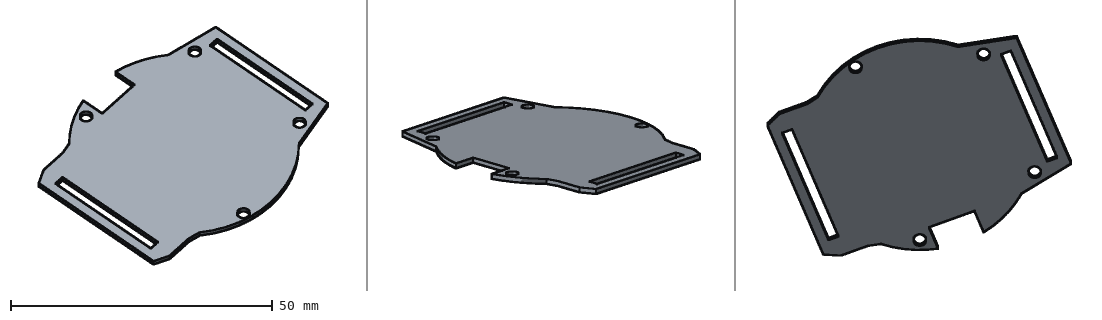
import cadquery as cq
import math

length = 51.15
thickness = 1.0
disc_radius = 22.0

upper_end_half_width = 14.2
upper_root_half_width = 16.55

lower_half_width = 16.0
lower_end_half_width = 14.6
lower_bevel_height = 3.0
flare_end_y = -16.95

slot_length = 24.2
slot_width = 2.05
slot_end_margin = 2.05

notch_height = 9.35
notch_floor_x = -16.7

hole_diameter = 2.4
upper_hole_x = 13.3
upper_hole_y = 18.4
hole_centers = [
    (-upper_hole_x, upper_hole_y),
    (upper_hole_x, upper_hole_y),
    (-18.5, -7.25),
    (19.8, -5.35),
]

half_length = length / 2
root_y = math.sqrt(disc_radius**2 - upper_root_half_width**2)


def make_tabs():
    """Symmetric strip through the disc that carries both strap tabs."""
    right_side = [
        (upper_end_half_width, half_length),
        (upper_root_half_width, root_y),
        (upper_root_half_width, -root_y),
        (lower_half_width, flare_end_y),
        (lower_half_width, -half_length + lower_bevel_height),
        (lower_end_half_width, -half_length),
    ]
    left_side = [(-x, y) for x, y in reversed(right_side)]
    return cq.Workplane("XY").polyline(right_side + left_side).close().extrude(thickness)


def make_notch():
    """Cutter reaching from the notch floor out to the -X edge of the disc."""
    depth = disc_radius + notch_floor_x
    return (
        cq.Workplane("XY")
        .center(notch_floor_x - depth / 2, 0)
        .rect(depth, notch_height)
        .extrude(thickness)
    )


def make_slots():
    slot_y = half_length - slot_end_margin - slot_width / 2
    return (
        cq.Workplane("XY")
        .pushPoints([(0, slot_y), (0, -slot_y)])
        .rect(slot_length, slot_width)
        .extrude(thickness)
    )


def make_holes():
    return cq.Workplane("XY").pushPoints(hole_centers).circle(hole_diameter / 2).extrude(thickness)


disc = cq.Workplane("XY").circle(disc_radius).extrude(thickness)
plate = disc.union(make_tabs())
result = plate.cut(make_notch()).cut(make_slots()).cut(make_holes())